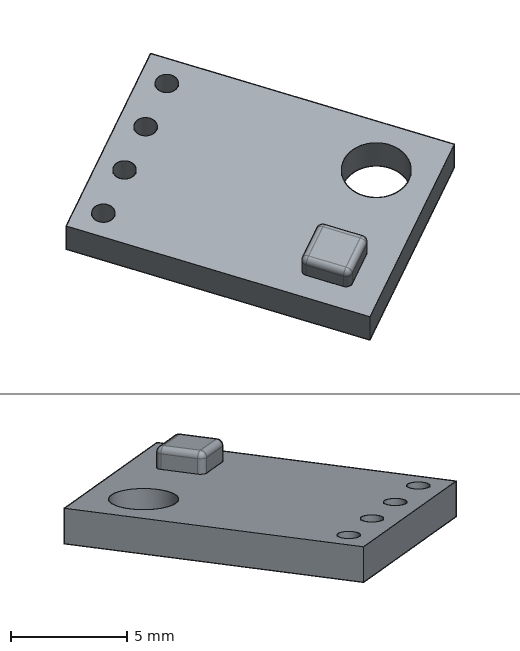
import cadquery as cq

board_length = 13.97
board_width = 10.15
board_thickness = 1.6
total_height = 2.6

pin_hole_diameter = 1.0
pin_hole_count = 4
pin_pitch = 2.54
pin_row_x = 1.25
first_pin_y = 1.23

mounting_hole_diameter = 3.0
mounting_hole_x = 11.35
mounting_hole_y = 7.63

chip_side = 2.3
chip_x = 11.45
chip_y = 2.3
chip_rounding = 0.3
chip_height = total_height - board_thickness


def make_board():
    """Plain board with the pin holes and the mounting hole through it."""
    pin_points = [(pin_row_x, first_pin_y + i * pin_pitch) for i in range(pin_hole_count)]
    board = cq.Workplane("XY").box(board_length, board_width, board_thickness, centered=False)
    pin_holes = (
        cq.Workplane("XY")
        .pushPoints(pin_points)
        .circle(pin_hole_diameter / 2)
        .extrude(board_thickness)
    )
    mounting_hole = (
        cq.Workplane("XY")
        .center(mounting_hole_x, mounting_hole_y)
        .circle(mounting_hole_diameter / 2)
        .extrude(board_thickness)
    )
    return board.cut(pin_holes).cut(mounting_hole)


def make_chip():
    """Chip with rounded upright edges and a rounded top rim."""
    return (
        cq.Workplane("XY", origin=(chip_x, chip_y, board_thickness))
        .rect(chip_side, chip_side)
        .extrude(chip_height)
        .edges("|Z or >Z")
        .fillet(chip_rounding)
    )


result = make_board().union(make_chip())